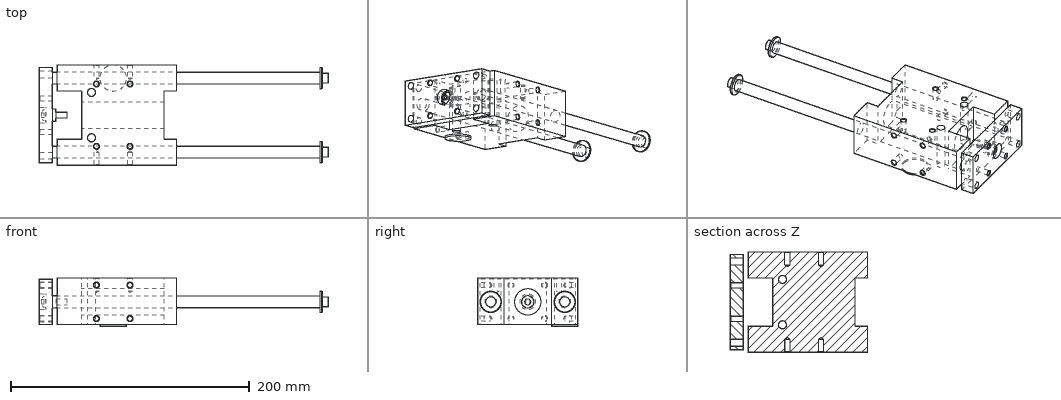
import cadquery as cq
import math

TOTAL_LENGTH = 242.0

HOUSING_START = 15.0
HOUSING_LENGTH = 100.0
HOUSING_WIDTH = 84.0
HOUSING_HEIGHT = 39.0
NOTCH_WIDTH = 40.2
FRONT_NOTCH_DEPTH = 20.5
REAR_NOTCH_DEPTH = 10.5
CYLINDER_BORE_DIAMETER = 22.0
MOUNT_HOLE_DIAMETER = 6.5
MOUNT_HOLE_SPACING = 38.0
MOUNT_HOLE_SETBACK = 8.2
BOSS_DIAMETER = 22.0
BOSS_HEIGHT = 1.5

THREAD_DIAMETER = 5.0
CORE_DIAMETER = 4.0
CORE_DEPTH = 11.0
DRILL_TIP_ANGLE = 120.0
TAPPED_SETBACK = 33.0
TAPPED_PITCH = 28.0
TOP_TAPPED_SPACING = 52.3

PLATE_THICKNESS = 11.1
PLATE_WIDTH = 79.9
PLATE_HEIGHT = 38.0
CORNER_HOLE_DIAMETER = 5.5
CORNER_HOLE_SPACING = 68.0

COUNTERBORE_DIAMETER = 13.0
COUNTERBORE_DEPTH = 5.8
COLLAR_DIAMETER = 10.5
COLLAR_RISE = 0.5
HEAD_DIAMETER = 9.5
HEAD_TOP_DIAMETER = 4.5
HEAD_HEIGHT = 3.5
DOME_BULGE = 0.5
SOCKET_DIAMETER = 3.6
SOCKET_DEPTH = 2.0
COLLAR_LENGTH = 3.0
STUD_DIAMETER = 5.0
STUD_END = 23.5

ROD_DIAMETER = 10.0
ROD_SPACING = 62.0
WASHER_DIAMETER = 18.0
WASHER_THICKNESS = 2.0
WASHER_CHAMFER = 0.5
END_SCREW_DIAMETER = 8.5
END_SCREW_LENGTH = 5.0

HOUSING_END = HOUSING_START + HOUSING_LENGTH
HOUSING_BOTTOM = -PLATE_HEIGHT / 2
HOUSING_TOP = HOUSING_BOTTOM + HOUSING_HEIGHT
THREAD_CHAMFER = (THREAD_DIAMETER - CORE_DIAMETER) / 2
TAPPED_X = [HOUSING_START + TAPPED_SETBACK + i * TAPPED_PITCH for i in range(2)]
TAPPED_OFFSETS = [-TAPPED_PITCH / 2, TAPPED_PITCH / 2]
ROD_Y = [-ROD_SPACING / 2, ROD_SPACING / 2]
WASHER_END = TOTAL_LENGTH - END_SCREW_LENGTH
ROD_END = WASHER_END - WASHER_THICKNESS

ALONG_X = cq.Vector(1, 0, 0)
DOWN = cq.Vector(0, 0, -1)


def rod_between(diameter, start, end, y=0.0):
    """Round bar along X between two stations."""
    return cq.Workplane("YZ", origin=(start, y, 0)).circle(diameter / 2).extrude(end - start)


def tapped_hole(mouth, direction, core_depth=CORE_DEPTH):
    """Cutter for one tapped hole that enters at mouth and runs along direction."""
    core_radius = CORE_DIAMETER / 2
    tip_length = core_radius / math.tan(math.radians(DRILL_TIP_ANGLE / 2))
    chamfer = cq.Solid.makeCone(THREAD_DIAMETER / 2, core_radius, THREAD_CHAMFER, mouth, direction)
    core = cq.Solid.makeCylinder(core_radius, core_depth, mouth, direction)
    tip = cq.Solid.makeCone(core_radius, 0, tip_length, mouth + direction * core_depth, direction)
    return cq.Workplane(core).union(cq.Workplane(chamfer)).union(cq.Workplane(tip))


def cut_notch(block, start, depth):
    """Open a full-height notch in the middle of one end of the block."""
    notch = cq.Workplane("XY").box(depth, NOTCH_WIDTH, HOUSING_HEIGHT, centered=(False, True, False))
    return block.cut(notch.translate((start, 0, HOUSING_BOTTOM)))


def make_housing():
    housing = cq.Workplane("XY").box(
        HOUSING_LENGTH, HOUSING_WIDTH, HOUSING_HEIGHT, centered=(False, True, False)
    ).translate((HOUSING_START, 0, HOUSING_BOTTOM))
    housing = cut_notch(housing, HOUSING_START, FRONT_NOTCH_DEPTH)
    housing = cut_notch(housing, HOUSING_END - REAR_NOTCH_DEPTH, REAR_NOTCH_DEPTH)

    housing = housing.cut(rod_between(CYLINDER_BORE_DIAMETER, HOUSING_START, HOUSING_END))
    for y in ROD_Y:
        housing = housing.cut(rod_between(ROD_DIAMETER, HOUSING_START, HOUSING_END, y))

    mount_x = HOUSING_START + FRONT_NOTCH_DEPTH + MOUNT_HOLE_SETBACK
    mount_holes = (
        cq.Workplane("XY", origin=(mount_x, 0, HOUSING_BOTTOM))
        .rarray(2.5, MOUNT_HOLE_SPACING, 1, 2)
        .circle(MOUNT_HOLE_DIAMETER / 2)
        .extrude(HOUSING_HEIGHT)
    )
    housing = housing.cut(mount_holes)

    for x in TAPPED_X:
        for side in (-1, 1):
            top_mouth = cq.Vector(x, side * TOP_TAPPED_SPACING / 2, HOUSING_TOP)
            housing = housing.cut(tapped_hole(top_mouth, DOWN))
            for z in TAPPED_OFFSETS:
                side_mouth = cq.Vector(x, side * HOUSING_WIDTH / 2, z)
                housing = housing.cut(tapped_hole(side_mouth, cq.Vector(0, -side, 0)))

    boss_x = sum(TAPPED_X) / 2
    boss_y = (HOUSING_WIDTH - BOSS_DIAMETER) / 2
    boss = (
        cq.Workplane("XY", origin=(boss_x, boss_y, HOUSING_BOTTOM))
        .circle(BOSS_DIAMETER / 2)
        .extrude(-BOSS_HEIGHT)
    )
    return housing.union(boss)


def make_plate():
    plate = cq.Workplane("XY").box(
        PLATE_THICKNESS, PLATE_WIDTH, PLATE_HEIGHT, centered=(False, True, True)
    )
    corner_holes = (
        cq.Workplane("YZ")
        .rarray(CORNER_HOLE_SPACING, TAPPED_PITCH, 2, 2)
        .circle(CORNER_HOLE_DIAMETER / 2)
        .extrude(PLATE_THICKNESS)
    )
    plate = plate.cut(corner_holes)

    for y in TAPPED_OFFSETS:
        for z in TAPPED_OFFSETS:
            plate = plate.cut(tapped_hole(cq.Vector(0, y, z), ALONG_X, PLATE_THICKNESS))
    return plate.cut(rod_between(COUNTERBORE_DIAMETER, 0, COUNTERBORE_DEPTH))


def make_button_screw():
    """Domed, socketed head in the counterbore, with a collar and stud behind the plate."""
    head_bottom = COUNTERBORE_DEPTH - COLLAR_RISE
    head_top = head_bottom - HEAD_HEIGHT
    top_radius = HEAD_TOP_DIAMETER / 2
    rim_radius = HEAD_DIAMETER / 2
    dome_middle = (
        (head_top + head_bottom) / 2 - DOME_BULGE,
        (top_radius + rim_radius) / 2 + DOME_BULGE,
    )
    head = (
        cq.Workplane("XY")
        .moveTo(head_top, 0)
        .lineTo(head_top, top_radius)
        .threePointArc(dome_middle, (head_bottom, rim_radius))
        .lineTo(head_bottom, 0)
        .close()
        .revolve(360, (0, 0, 0), (1, 0, 0))
    )
    head = head.cut(rod_between(SOCKET_DIAMETER, head_top, head_top + SOCKET_DEPTH))
    collar_end = PLATE_THICKNESS + COLLAR_LENGTH
    collar = rod_between(COLLAR_DIAMETER, head_bottom, collar_end)
    stud = rod_between(STUD_DIAMETER, collar_end, STUD_END)
    return head.union(collar).union(stud)


def make_guide_rod(y):
    """One guide rod with its chamfered washer and end screw head."""
    rod = rod_between(ROD_DIAMETER, PLATE_THICKNESS, ROD_END, y)
    washer = rod_between(WASHER_DIAMETER, ROD_END, WASHER_END, y).faces(">X").chamfer(WASHER_CHAMFER)
    screw = rod_between(END_SCREW_DIAMETER, WASHER_END, TOTAL_LENGTH, y)
    return rod.union(washer).union(screw)


def make_carriage():
    """Moving body: end plate, its centre screw and both guide rods."""
    carriage = make_plate().union(make_button_screw())
    for y in ROD_Y:
        carriage = carriage.union(make_guide_rod(y))
    return carriage


housing = make_housing()
carriage = make_carriage()

result = cq.Compound.makeCompound([housing.val(), carriage.val()])